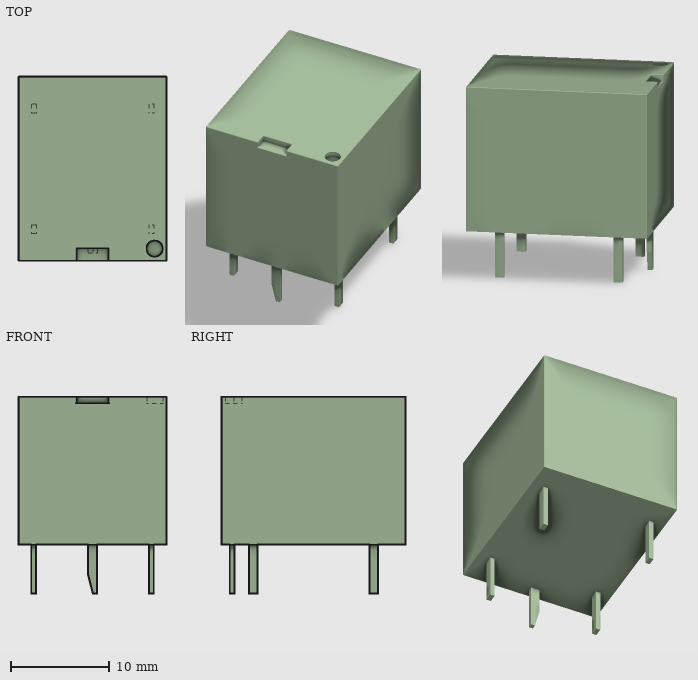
import cadquery as cq

body_width = 15.1
body_length = 18.8
body_height = 15.1
lid_thickness = 0.7
side_edge_radius = 0.1
rim_radius = 0.075

notch_width = 3.25
notch_depth = 1.28
vent_diameter = 1.65
vent_x = 6.33
vent_y = -8.15

pin_length = 5.0
pin_thickness = 0.5
pin_blade_width = 0.9
pin_x = 6.0
pin_y = 6.15
common_pin_width = 0.95
common_pin_y = -8.3
common_tip_width = 0.45
common_tip_length = 2.0


def make_housing():
    """Box with a notch and a vent as deep as the lid, rounded side edges and a rounded top rim."""
    lid_bottom = body_height - lid_thickness
    box = cq.Workplane("XY").box(
        body_width, body_length, body_height, centered=(True, True, False)
    )
    notch = (
        cq.Workplane("XY", origin=(0, -body_length / 2, lid_bottom))
        .rect(notch_width, 2 * notch_depth)
        .extrude(lid_thickness)
    )
    vent = (
        cq.Workplane("XY", origin=(vent_x, vent_y, lid_bottom))
        .circle(vent_diameter / 2)
        .extrude(lid_thickness)
    )
    around_notch = cq.selectors.BoxSelector(
        (-notch_width, -body_length, lid_bottom),
        (notch_width, 0, body_height),
    )
    housing = box.cut(notch)
    housing = housing.edges("|Z").edges(around_notch).fillet(rim_radius)
    housing = housing.edges("|Z and (<X or >X)").fillet(side_edge_radius)
    housing = housing.faces(">Z").edges().fillet(rim_radius)
    return housing.cut(vent)


def make_corner_pins():
    """Four flat pins with their blades facing along X."""
    return (
        cq.Workplane("XY")
        .rect(2 * pin_x, 2 * pin_y, forConstruction=True)
        .vertices()
        .rect(pin_thickness, pin_blade_width)
        .extrude(-pin_length)
    )


def make_common_pin():
    """Flat pin facing along Y, tapered on its -X side towards the tip."""
    half_width = common_pin_width / 2
    return (
        cq.Workplane("XZ", origin=(0, common_pin_y, 0))
        .moveTo(-half_width, 0)
        .lineTo(half_width, 0)
        .lineTo(half_width, -pin_length)
        .lineTo(half_width - common_tip_width, -pin_length)
        .lineTo(-half_width, common_tip_length - pin_length)
        .close()
        .extrude(pin_thickness / 2, both=True)
    )


result = make_housing().union(make_corner_pins()).union(make_common_pin())